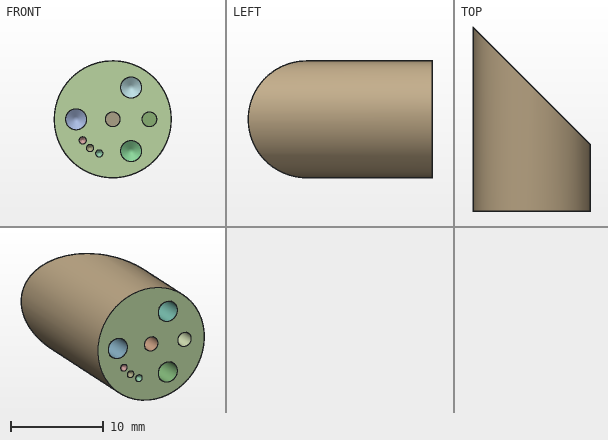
import cadquery as cq
import math

length = 19.98
diameter = 12.7
radius = diameter / 2
short_side = length - diameter

hole_circle_radius = 3.98
drill_point_angle = 118.0

mount_hole_diameter = 2.28
mount_hole_depth = 4.0
mount_hole_angles = (60, 180, 300)

pin_hole_diameter = 1.6
pin_hole_depth = 3.0

index_dimple_diameter = 0.78
index_dimple_cone_angle = 90.0
index_dimple_middle_angle = 231.7
index_dimple_spacing = 16.7


def on_hole_circle(angle):
    """Return the (x, z) place on the hole circle at an angle from +X towards +Z."""
    turn = math.radians(angle)
    return hole_circle_radius * math.cos(turn), hole_circle_radius * math.sin(turn)


def flat_hole(x, z, hole_diameter, depth):
    """Cutter for a flat-bottomed hole running from the base along +Y."""
    return cq.Workplane(cq.Solid.makeCylinder(
        hole_diameter / 2, depth, cq.Vector(x, 0, z), cq.Vector(0, 1, 0)))


def cone(x, z, start, base_diameter, point_angle):
    """Cutter for a cone narrowing along +Y from its base at y = start."""
    base_radius = base_diameter / 2
    height = base_radius / math.tan(math.radians(point_angle / 2))
    return cq.Workplane(cq.Solid.makeCone(
        base_radius, 0, height, cq.Vector(x, start, z), cq.Vector(0, 1, 0)))


def drilled_hole(x, z, hole_diameter, depth):
    """Cutter for a hole with a conical drill point beyond its full-width depth."""
    point = cone(x, z, depth, hole_diameter, drill_point_angle)
    return flat_hole(x, z, hole_diameter, depth).union(point)


bar = cq.Workplane(cq.Solid.makeCylinder(
    radius, length, cq.Vector(0, 0, 0), cq.Vector(0, 1, 0)))
slanted_block = (
    cq.Workplane("XY")
    .polyline([(-radius, 0), (radius, 0), (radius, short_side), (-radius, length)])
    .close()
    .extrude(radius, both=True)
)
result = bar.intersect(slanted_block)

for angle in mount_hole_angles:
    x, z = on_hole_circle(angle)
    result = result.cut(drilled_hole(x, z, mount_hole_diameter, mount_hole_depth))

for x in (0, hole_circle_radius):
    result = result.cut(flat_hole(x, 0, pin_hole_diameter, pin_hole_depth))

for step in (-1, 0, 1):
    x, z = on_hole_circle(index_dimple_middle_angle + step * index_dimple_spacing)
    result = result.cut(cone(x, z, 0, index_dimple_diameter, index_dimple_cone_angle))